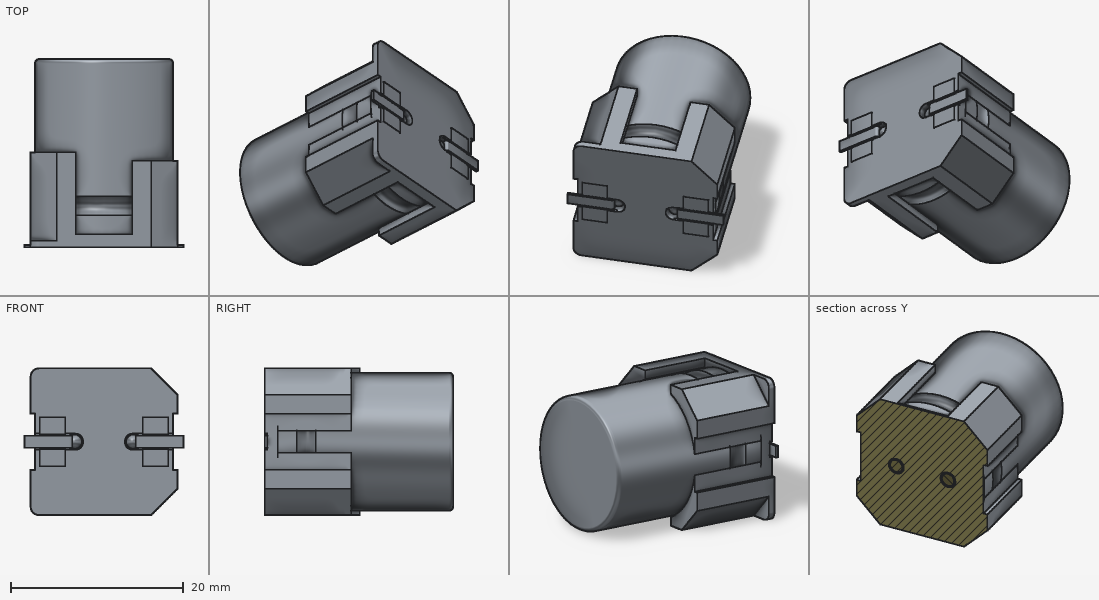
import cadquery as cq
import math


BASE_WIDTH = 17.0
FLOOR_THICKNESS = 1.5
TALL_POST_HEIGHT = 11.0
SHORT_POST_HEIGHT = 10.0
CORNER_CHAMFER = 3.05
FOOT_THICKNESS = 0.8
FOOT_RADIUS = 1.0
WINDOW_WIDTH = 6.5
SIDE_NOTCH_DEPTH = 0.5

CAN_RADIUS = 8.0
CAN_END = 21.8
CAN_END_FILLET = 0.5
CAN_CLEARANCE = 0.1
GROOVE_CENTRE = 4.8
GROOVE_RADIUS = 1.1

LEAD_TIP = 9.2
LEAD_THICKNESS = 0.3
LEAD_WIDTH = 1.4
LEAD_INNER_FACE = 3.7
ROOT_CENTRE = 3.36
ROOT_RADIUS = 0.82
ROOT_APEX = 0.3

SLOT_WIDTH = 1.9
SLOT_DEPTH = LEAD_THICKNESS

PAD_INNER_X = 4.5
PAD_OUTER_X = 7.45
PAD_LENGTH = 5.7
PAD_THICKNESS = 0.6
PAD_CHANNEL_WIDTH = 1.72

HALF_WIDTH = BASE_WIDTH / 2
SIDES = (-1, 1)


def block(x_range, y_range, z_range):
    """Box filling the given ranges; the ends of a range may come in either order."""
    lows, highs = zip(*(sorted(ends) for ends in (x_range, y_range, z_range)))
    sizes = [high - low for low, high in zip(lows, highs)]
    return cq.Workplane().box(*sizes, centered=False).translate(lows)


def across(width):
    """Range of the given width centred on the axis."""
    return (-width / 2, width / 2)


def rod(x, radius, start, end):
    """Cylinder along Y at the given X."""
    circle = cq.Workplane("XZ", origin=(x, start, 0)).circle(radius)
    return circle.extrude(start - end)


def make_base():
    base = block(across(BASE_WIDTH), (0, TALL_POST_HEIGHT), across(BASE_WIDTH))
    base = base.edges("|Y").chamfer(CORNER_CHAMFER)

    foot = block((-HALF_WIDTH, 0), (0, FOOT_THICKNESS), across(BASE_WIDTH))
    base = base.union(foot.edges("|Y and <X").fillet(FOOT_RADIUS))

    base = base.cut(block((0, HALF_WIDTH), (SHORT_POST_HEIGHT, TALL_POST_HEIGHT), across(BASE_WIDTH)))
    base = base.cut(rod(0, CAN_RADIUS + CAN_CLEARANCE, FLOOR_THICKNESS, TALL_POST_HEIGHT))
    base = base.cut(block(across(WINDOW_WIDTH), (FLOOR_THICKNESS, TALL_POST_HEIGHT), across(BASE_WIDTH)))
    for side in SIDES:
        notch_x = (side * (HALF_WIDTH - SIDE_NOTCH_DEPTH), side * HALF_WIDTH)
        base = base.cut(block(notch_x, (0, TALL_POST_HEIGHT), across(WINDOW_WIDTH)))
        base = base.cut(make_pad_blank(side))
        base = base.cut(make_slot(side, SLOT_WIDTH))
        base = base.cut(rod(side * ROOT_CENTRE, SLOT_WIDTH / 2, 0, FLOOR_THICKNESS))
    return base


def make_slot(side, width):
    """Lead channel running from the root centre out past the edge of the base."""
    return block((side * ROOT_CENTRE, side * HALF_WIDTH), (0, SLOT_DEPTH), across(width))


def make_can():
    can = rod(0, CAN_RADIUS, FLOOR_THICKNESS, CAN_END)
    can = can.faces(">Y").edges().fillet(CAN_END_FILLET)
    groove = cq.Solid.makeTorus(
        CAN_RADIUS, GROOVE_RADIUS, cq.Vector(0, GROOVE_CENTRE, 0), cq.Vector(0, 1, 0)
    )
    return can.cut(cq.Workplane(groove))


def make_pad_blank(side):
    """Solder pad before its lead channel is cut; also its recess in the base."""
    return block((side * PAD_INNER_X, side * PAD_OUTER_X), (0, PAD_THICKNESS), across(PAD_LENGTH))


def make_pad(side):
    return make_pad_blank(side).cut(make_slot(side, PAD_CHANNEL_WIDTH))


def make_lead(side):
    """Flat strip bent upright into the base hole, joined to a round root with a domed tip."""
    inner_x = side * LEAD_INNER_FACE
    strip = block((inner_x, side * LEAD_TIP), (0, LEAD_THICKNESS), across(LEAD_WIDTH))
    inner_edge = "<X" if side > 0 else ">X"
    upright_x = (inner_x, inner_x + side * LEAD_THICKNESS)
    upright = block(upright_x, (0, FLOOR_THICKNESS), across(LEAD_WIDTH))
    bent = strip.union(upright).edges("|Z and <Y").edges(inner_edge).fillet(LEAD_THICKNESS)

    shoulder = ROOT_APEX + ROOT_RADIUS
    arc_step = ROOT_RADIUS * math.sqrt(0.5)
    root = (
        cq.Workplane("XY", origin=(side * ROOT_CENTRE, 0, 0))
        .moveTo(0, ROOT_APEX)
        .threePointArc((arc_step, shoulder - arc_step), (ROOT_RADIUS, shoulder))
        .lineTo(ROOT_RADIUS, FLOOR_THICKNESS)
        .lineTo(0, FLOOR_THICKNESS)
        .close()
        .revolve(360, (0, 0), (0, 1))
    )
    return bent.union(root)


base = make_base()
can = make_can()
pads = [make_pad(side).val() for side in SIDES]
leads = [make_lead(side).val() for side in SIDES]

result = cq.Compound.makeCompound([base.val(), can.val(), *pads, *leads])